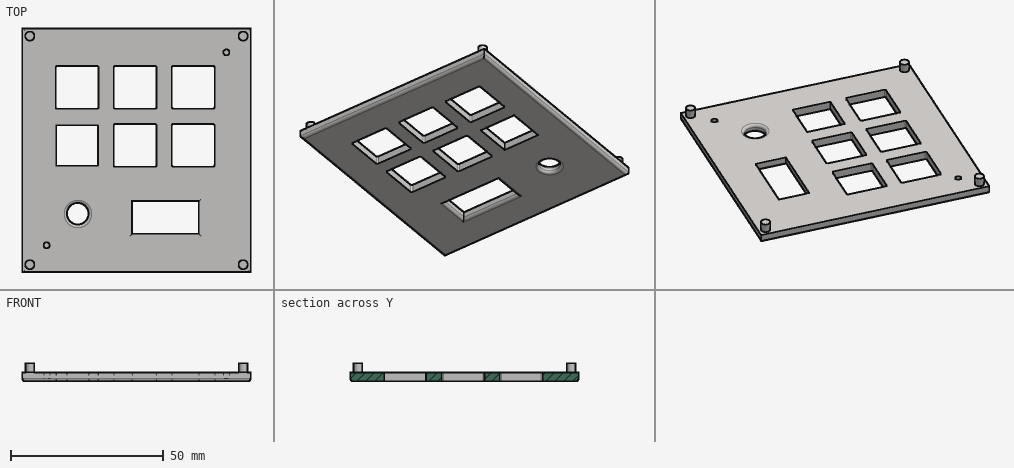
import cadquery as cq

plate_width = 75.0
plate_length = 80.0
plate_thickness = 3.0
underside_radius = 1.0

pin_diameter = 3.0
pin_height = 3.0
pin_edge_distance = 2.5

key_pitch = 19.05
key_columns = 3
key_rows = 2
key_size = 14.0
key_corner_radius = 0.5
key_grid_center = (-0.45, 11.15)
small_key_column = 0
small_key_row = 0
small_key_width = 13.6
small_key_length = 13.2

window_width = 21.8
window_length = 10.6
window_rim_radius = 1.0
window_center = (9.45, -22.0)

knob_diameter = 7.0
knob_rim_radius = 1.0
knob_center = (-19.3, -20.8)

blind_diameter = 2.0
blind_depth = 2.0
blind_centers = [(29.5, 32.15), (-29.5, -31.15)]


def make_plate():
    """Plate whose four underside edges are rounded."""
    plate = cq.Workplane("XY").box(
        plate_width, plate_length, plate_thickness, centered=(True, True, False)
    )
    return plate.faces("<Z").edges().fillet(underside_radius)


def make_pins():
    """Four pins standing on the top face, one near each corner."""
    spacing_x = plate_width - 2 * pin_edge_distance
    spacing_y = plate_length - 2 * pin_edge_distance
    return (
        cq.Workplane("XY", origin=(0, 0, plate_thickness))
        .rarray(spacing_x, spacing_y, 2, 2)
        .circle(pin_diameter / 2)
        .extrude(pin_height)
    )


def through_block(center, width, length):
    """Rectangular cutter spanning the plate thickness."""
    return cq.Workplane("XY").center(*center).rect(width, length).extrude(plate_thickness)


def make_key_cutter(column, row):
    """Cutter for one key position, counted from the lowest X and Y."""
    center = (
        key_grid_center[0] + (column - (key_columns - 1) / 2) * key_pitch,
        key_grid_center[1] + (row - (key_rows - 1) / 2) * key_pitch,
    )
    if (column, row) == (small_key_column, small_key_row):
        return through_block(center, small_key_width, small_key_length)
    return through_block(center, key_size, key_size).edges("|Z").fillet(key_corner_radius)


def cut_window(body):
    """Cut the window and round its rim on the underside."""
    cut_body = body.cut(through_block(window_center, window_width, window_length))
    rim = cut_body.faces("<Z").wires(cq.selectors.NearestToPointSelector((*window_center, 0)))
    return rim.edges().fillet(window_rim_radius)


def cut_knob_hole(body):
    """Cut the round hole and round its rim on both faces."""
    bore = cq.Workplane("XY").center(*knob_center).circle(knob_diameter / 2).extrude(plate_thickness)
    return body.cut(bore).edges("%CIRCLE").fillet(knob_rim_radius)


def make_blind_cutter():
    """Cutter for the blind holes in the top face."""
    return (
        cq.Workplane("XY", origin=(0, 0, plate_thickness))
        .pushPoints(blind_centers)
        .circle(blind_diameter / 2)
        .extrude(-blind_depth)
    )


result = cut_window(cut_knob_hole(make_plate()))
for column in range(key_columns):
    for row in range(key_rows):
        result = result.cut(make_key_cutter(column, row))
result = result.cut(make_blind_cutter())
result = result.union(make_pins())